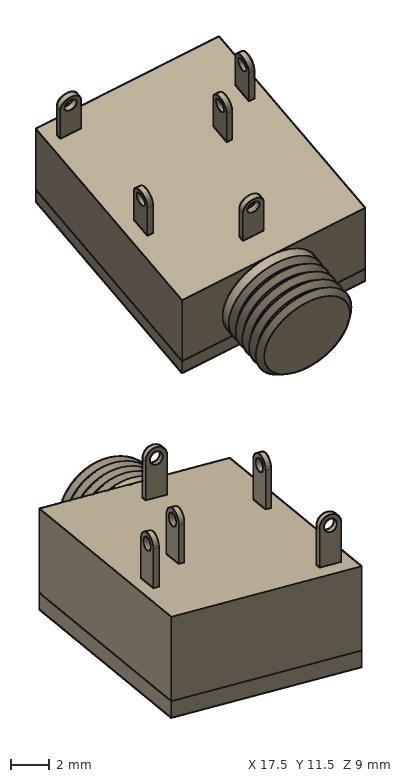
import cadquery as cq

total_length = 17.5
box_length = 14.0
box_width = 11.5
box_height = 6.0
box_back_y = 5.95
cover_thickness = 1.0

bushing_radius = box_height / 2
thread_pitch = 0.65
thread_depth = 0.32
thread_crests = 4

terminal_height = 3.0
terminal_width = 1.31
terminal_thickness = 0.35
terminal_hole_diameter = 0.77

terminals_wide_in_x = [(3.92, 5.0), (5.62, 2.5), (8.68, -4.48)]
terminals_wide_in_y = [(1.12, -4.2), (12.2, 0)]


def make_block(bottom, height):
    """Rectangular block over the full box footprint."""
    return (
        cq.Workplane("XY")
        .box(box_length, box_width, height, centered=(False, False, False))
        .translate((0, box_back_y - box_width, bottom))
    )


def make_bushing():
    """Plain collar followed by ring-shaped V threads, ending at a thread root."""
    root_radius = bushing_radius - thread_depth
    thread_length = (thread_crests + 0.5) * thread_pitch
    collar_end = total_length - thread_length
    profile = [
        (box_length, 0),
        (box_length, bushing_radius),
        (collar_end, bushing_radius),
    ]
    for crest in range(thread_crests):
        groove_start = collar_end + crest * thread_pitch
        profile.append((groove_start + thread_pitch / 2, root_radius))
        profile.append((groove_start + thread_pitch, bushing_radius))
    profile.append((total_length, root_radius))
    profile.append((total_length, 0))
    return (
        cq.Workplane("XY")
        .polyline(profile)
        .close()
        .revolve(360, (0, 0, 0), (1, 0, 0))
        .translate((0, 0, box_height / 2))
    )


def make_terminal(x, y, turn):
    """Flat upright blade with a round top and a hole concentric with it."""
    radius = terminal_width / 2
    eye_height = terminal_height - radius
    blade = (
        cq.Workplane("XZ")
        .moveTo(-radius, 0)
        .lineTo(-radius, eye_height)
        .threePointArc((0, terminal_height), (radius, eye_height))
        .lineTo(radius, 0)
        .close()
        .extrude(terminal_thickness / 2, both=True)
    )
    eye = (
        cq.Workplane("XZ")
        .center(0, eye_height)
        .circle(terminal_hole_diameter / 2)
        .extrude(terminal_thickness, both=True)
    )
    return blade.cut(eye).rotate((0, 0, 0), (0, 0, 1), turn).translate((x, y, box_height))


def make_housing():
    """Box above the cover, with the threaded bushing and solder terminals."""
    body = make_block(cover_thickness, box_height - cover_thickness).union(make_bushing())
    for x, y in terminals_wide_in_x:
        body = body.union(make_terminal(x, y, 0))
    for x, y in terminals_wide_in_y:
        body = body.union(make_terminal(x, y, 90))
    return body


def make_cover():
    """Flat plate closing the underside of the housing."""
    return make_block(0, cover_thickness)


housing = make_housing()
cover = make_cover()

result = cq.Compound.makeCompound([housing.val(), cover.val()])